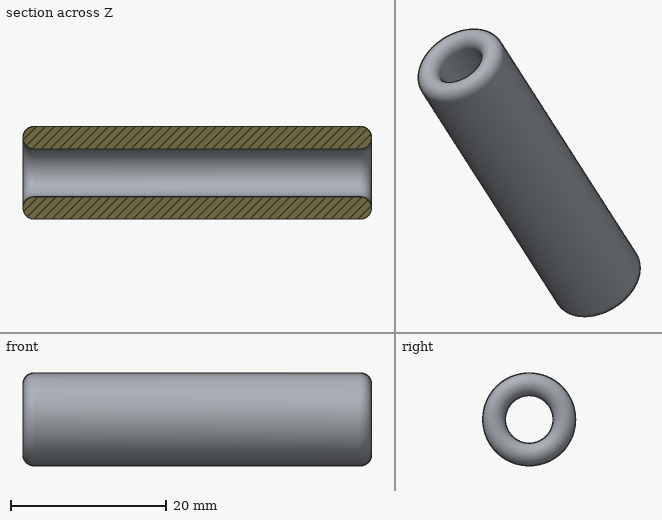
import cadquery as cq

length = 45.0
outer_diameter = 12.0
bore_diameter = 6.1

outer_radius = outer_diameter / 2
bore_radius = bore_diameter / 2
rim_radius = (outer_radius - bore_radius) / 2
rim_center_radius = bore_radius + rim_radius
half_length = length / 2
straight_half_length = half_length - rim_radius

wall_section = (
    cq.Workplane("XY")
    .moveTo(-straight_half_length, bore_radius)
    .lineTo(straight_half_length, bore_radius)
    .threePointArc((half_length, rim_center_radius), (straight_half_length, outer_radius))
    .lineTo(-straight_half_length, outer_radius)
    .threePointArc((-half_length, rim_center_radius), (-straight_half_length, bore_radius))
    .close()
)

result = wall_section.revolve(360, (0, 0, 0), (1, 0, 0))